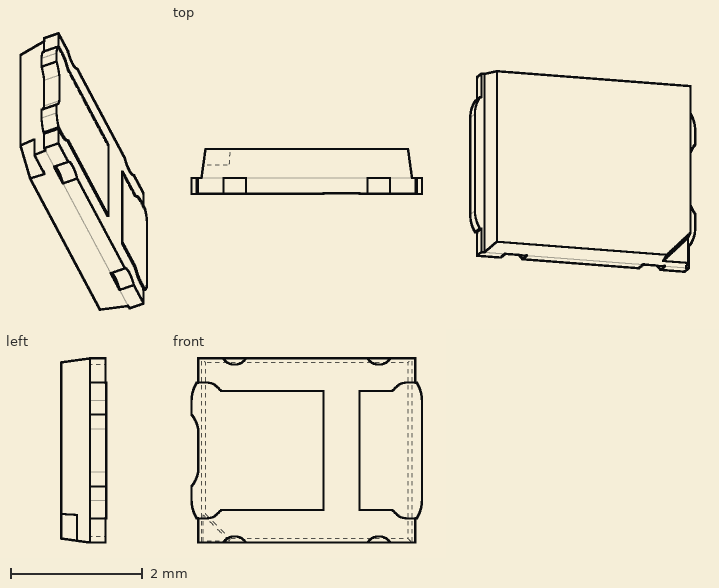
import cadquery as cq
import math

HEIGHT = 2.8
PAD_SPAN = 3.5
DEPTH = 0.69

BOARD_WIDTH = 3.297
BOARD_BACK = 0.25
PAD_THICKNESS = 0.015
EDGE_NOTCH_RADIUS = 0.2
EDGE_NOTCH_DEPTH = 0.098
EDGE_NOTCH_X = 1.095

PAD_HALF_HEIGHT = 1.03
PAD_INNER_HALF_HEIGHT = 0.903
LARGE_PAD_EDGE = 0.252
SMALL_PAD_EDGE = 0.8
SHOULDER_X = 1.3
SHOULDER_FILLET = 0.2
SELECT_MARGIN = 0.018
PAD_CORNER_RADIUS = 0.5
PAD_CORNER_END = 0.76
SIDE_NOTCH_HALF_FLAT = 0.325
SIDE_NOTCH_HALF_MOUTH = 0.545
SIDE_NOTCH_RADIUS = 0.5

BODY_WIDTH = 3.2
TAPER = 8.0
MARK_LEG = 0.375
MARK_DEPTH = 0.245


def at_depth(y):
    """Workplane with local axes X and Z whose extrusions run along +Y."""
    return cq.Workplane(cq.Plane(origin=(0, y, 0), xDir=(1, 0, 0), normal=(0, -1, 0)))


def make_board():
    thickness = BOARD_BACK - PAD_THICKNESS
    board = at_depth(PAD_THICKNESS).rect(BOARD_WIDTH, HEIGHT).extrude(-thickness)
    centre_z = HEIGHT / 2 - EDGE_NOTCH_DEPTH + EDGE_NOTCH_RADIUS
    notch_centres = [(x, z) for x in (-EDGE_NOTCH_X, EDGE_NOTCH_X) for z in (-centre_z, centre_z)]
    notches = at_depth(0).pushPoints(notch_centres).circle(EDGE_NOTCH_RADIUS).extrude(-BOARD_BACK)
    return board.cut(notches)


def make_pad(side, inner_edge):
    """Pad on the given X side (-1 or +1), wrapping around the board edge."""
    outer_x = PAD_SPAN / 2
    corner_rise = PAD_HALF_HEIGHT - PAD_CORNER_END
    corner_x = outer_x - PAD_CORNER_RADIUS + math.sqrt(PAD_CORNER_RADIUS**2 - corner_rise**2)
    half_angle = math.asin(corner_rise / PAD_CORNER_RADIUS) / 2
    mid_x = outer_x - PAD_CORNER_RADIUS * (1 - math.cos(half_angle))
    mid_z = PAD_CORNER_END + PAD_CORNER_RADIUS * math.sin(half_angle)
    raised_x = SHOULDER_X + PAD_HALF_HEIGHT - PAD_INNER_HALF_HEIGHT
    pad = (
        at_depth(0)
        .moveTo(inner_edge, -PAD_INNER_HALF_HEIGHT)
        .lineTo(side * SHOULDER_X, -PAD_INNER_HALF_HEIGHT)
        .lineTo(side * raised_x, -PAD_HALF_HEIGHT)
        .lineTo(side * corner_x, -PAD_HALF_HEIGHT)
        .threePointArc((side * mid_x, -mid_z), (side * outer_x, -PAD_CORNER_END))
        .lineTo(side * outer_x, PAD_CORNER_END)
        .threePointArc((side * mid_x, mid_z), (side * corner_x, PAD_HALF_HEIGHT))
        .lineTo(side * raised_x, PAD_HALF_HEIGHT)
        .lineTo(side * SHOULDER_X, PAD_INNER_HALF_HEIGHT)
        .lineTo(inner_edge, PAD_INNER_HALF_HEIGHT)
        .close()
        .extrude(-BOARD_BACK)
    )
    shoulder_edges = cq.selectors.BoxSelector(
        (side * raised_x - SELECT_MARGIN, 0, -HEIGHT), (side * raised_x + SELECT_MARGIN, DEPTH, HEIGHT)
    )
    return pad.edges("|Y").edges(shoulder_edges).fillet(SHOULDER_FILLET)


def make_side_notch():
    """Notch with arced flanks that brings the middle of the -X pad edge back to the board edge."""
    mouth_x = -PAD_SPAN / 2
    floor_x = -BOARD_WIDTH / 2
    return (
        at_depth(0)
        .moveTo(mouth_x, -SIDE_NOTCH_HALF_MOUTH)
        .radiusArc((floor_x, -SIDE_NOTCH_HALF_FLAT), -SIDE_NOTCH_RADIUS)
        .lineTo(floor_x, SIDE_NOTCH_HALF_FLAT)
        .radiusArc((mouth_x, SIDE_NOTCH_HALF_MOUTH), -SIDE_NOTCH_RADIUS)
        .close()
        .extrude(-BOARD_BACK)
    )


def make_body():
    body_depth = DEPTH - BOARD_BACK
    body = at_depth(BOARD_BACK).rect(BODY_WIDTH, HEIGHT).extrude(-body_depth, taper=TAPER)
    draft = math.tan(math.radians(TAPER))
    top_x = -BODY_WIDTH / 2 + body_depth * draft
    top_z = -HEIGHT / 2 + body_depth * draft
    shift = math.sqrt(2) * MARK_DEPTH * draft

    def corner_triangle(plane, leg):
        reach = 2 * MARK_LEG
        return plane.polyline([
            (top_x + leg + reach, top_z - reach),
            (top_x - reach, top_z - reach),
            (top_x - reach, top_z + leg + reach),
        ]).close()

    mark = corner_triangle(at_depth(DEPTH), MARK_LEG).workplane(offset=MARK_DEPTH)
    mark = corner_triangle(mark, MARK_LEG - shift).loft(ruled=True)
    return body.cut(mark)


pads = make_pad(-1, LARGE_PAD_EDGE).union(make_pad(1, SMALL_PAD_EDGE)).cut(make_side_notch())
result = make_board().union(pads).union(make_body())